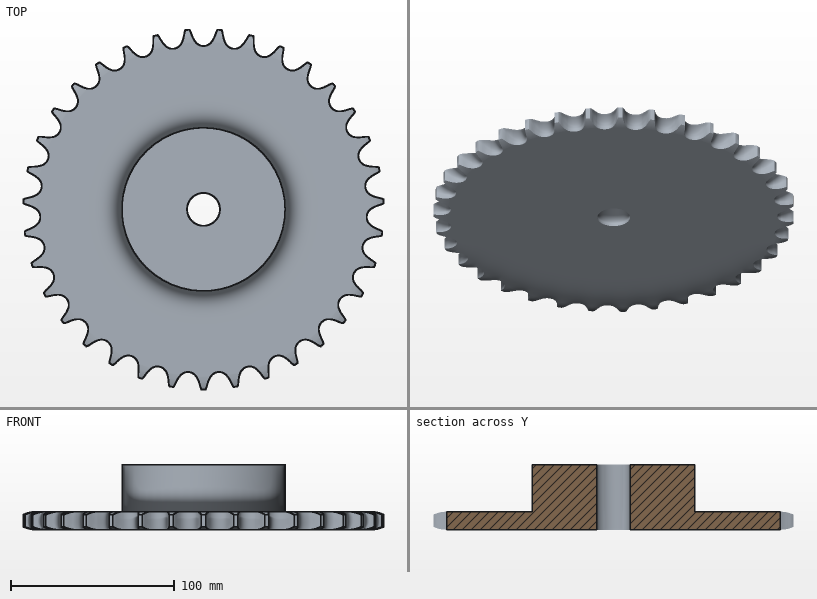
import cadquery as cq
import math

tooth_count = 35
chain_pitch = 19.05
roller_diameter = 12.07
tip_radius = 110.5
plate_thickness = 11.1
tooth_face_radius = 19.05
tooth_face_depth = 8.2
hub_diameter = 100.0
bore_diameter = 20.0
total_height = 40.0
tip_clearance = 0.5

pitch_angle = 2 * math.pi / tooth_count
pitch_radius = chain_pitch / (2 * math.sin(pitch_angle / 2))
cutter_height = tip_radius + tip_clearance

inch = 25.4
seat_clearance = 0.003 * inch
seat_radius = (1.005 * roller_diameter + seat_clearance) / 2
working_distance = 0.8 * roller_diameter
topping_distance = 1.4 * roller_diameter
working_radius = seat_radius + working_distance
seat_end_angle = -math.radians(35 + 60 / tooth_count)
working_sweep = math.radians(18 - 56 / tooth_count)
topping_angle = math.radians(17 - 64 / tooth_count)
flank_angle = seat_end_angle + working_sweep
flat_length = topping_distance * math.sin(topping_angle) - working_distance * math.sin(working_sweep)
topping_radius = (
    working_distance * math.cos(working_sweep)
    + topping_distance * math.cos(topping_angle)
    - working_radius
)


def make_blank():
    """Revolve the plate whose rim narrows symmetrically along circular arcs."""
    face_radius = tip_radius - tooth_face_depth
    drop = tooth_face_radius - math.sqrt(tooth_face_radius**2 - tooth_face_depth**2)
    mid_reach = tooth_face_depth / 2
    mid_drop = tooth_face_radius - math.sqrt(tooth_face_radius**2 - mid_reach**2)
    mid_radius = face_radius + mid_reach
    return (
        cq.Workplane("XZ")
        .lineTo(face_radius, 0)
        .threePointArc((mid_radius, mid_drop), (tip_radius, drop))
        .lineTo(tip_radius, plate_thickness - drop)
        .threePointArc((mid_radius, plate_thickness - mid_drop), (face_radius, plate_thickness))
        .lineTo(0, plate_thickness)
        .close()
        .revolve(360, (0, 0, 0), (0, 1, 0))
    )


def polar_offset(point, radius, angle):
    """Point at the given distance and angle from another point."""
    return (point[0] + radius * math.cos(angle), point[1] + radius * math.sin(angle))


def mirror_x(point):
    """Same point on the other side of the gap's centre line."""
    return (-point[0], point[1])


def make_gap():
    """Gap centred on +Y: roller seat, hollow working arcs, short flats and round topping arcs."""
    seat_centre = (0, pitch_radius)
    root = (0, pitch_radius - seat_radius)
    seat_end = polar_offset(seat_centre, seat_radius, seat_end_angle)

    working_centre = polar_offset(seat_centre, -working_distance, seat_end_angle)
    working_mid = polar_offset(working_centre, working_radius, (seat_end_angle + flank_angle) / 2)
    working_end = polar_offset(working_centre, working_radius, flank_angle)

    flat_end = polar_offset(working_end, flat_length, flank_angle + math.pi / 2)
    topping_centre = polar_offset(flat_end, topping_radius, flank_angle)
    topping_start_angle = flank_angle + math.pi
    topping_end_angle = math.pi - math.asin((cutter_height - topping_centre[1]) / topping_radius)
    topping_mid_angle = (topping_start_angle + topping_end_angle) / 2
    topping_mid = polar_offset(topping_centre, topping_radius, topping_mid_angle)
    topping_end = polar_offset(topping_centre, topping_radius, topping_end_angle)

    return (
        cq.Workplane("XY")
        .moveTo(*mirror_x(topping_end))
        .threePointArc(mirror_x(topping_mid), mirror_x(flat_end))
        .lineTo(*mirror_x(working_end))
        .threePointArc(mirror_x(working_mid), mirror_x(seat_end))
        .threePointArc(root, seat_end)
        .threePointArc(working_mid, working_end)
        .lineTo(*flat_end)
        .threePointArc(topping_mid, topping_end)
        .close()
        .extrude(plate_thickness)
    )


def cut_gaps(blank):
    """Cut one gap per tooth, the first on +Y."""
    gap = make_gap()
    gaps = []
    for index in range(tooth_count):
        turn = math.degrees(index * pitch_angle)
        gaps.append(gap.rotate((0, 0, 0), (0, 0, 1), turn).val())
    return blank.cut(cq.Workplane("XY").newObject([cq.Compound.makeCompound(gaps)]))


def add_hub(sprocket):
    """Add the hub above the plate and bore through both."""
    hub = cq.Workplane("XY").circle(hub_diameter / 2).extrude(total_height)
    bore = cq.Workplane("XY").circle(bore_diameter / 2).extrude(total_height)
    return sprocket.union(hub).cut(bore)


result = add_hub(cut_gaps(make_blank()))